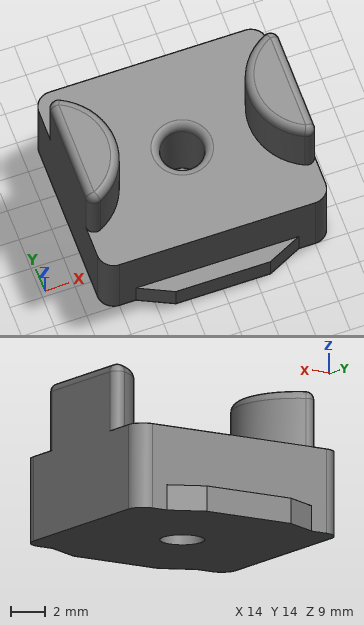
import cadquery as cq

length = 14.0
width = 12.0
base_height = 5.0
corner_radius = 1.0

overall_width = 14.0
tab_height = 1.5
tab_root_length = 10.0
tab_tip_length = 5.81

total_height = 9.0
post_depth = 2.9
post_chord = 7.5
edge_radius = 0.5

hole_diameter = 2.6


def make_base():
    block = cq.Workplane("XY").box(length, width, base_height, centered=(True, True, False))
    block = block.edges("|Z").fillet(corner_radius)
    block = block.faces(">Z").workplane().hole(hole_diameter)
    mouth = cq.selectors.RadiusNthSelector(-1)
    return block.faces(">Z").edges("%CIRCLE").edges(mouth).fillet(edge_radius)


def make_tabs():
    """One plate under the block whose ends form both tabs."""
    root_x = tab_root_length / 2
    tip_x = tab_tip_length / 2
    root_y = width / 2
    tip_y = overall_width / 2
    outline = [
        (-root_x, -root_y), (-tip_x, -tip_y), (tip_x, -tip_y), (root_x, -root_y),
        (root_x, root_y), (tip_x, tip_y), (-tip_x, tip_y), (-root_x, root_y),
    ]
    plate = cq.Workplane("XY").polyline(outline).close().extrude(tab_height)
    bore = cq.Workplane("XY").circle(hole_diameter / 2).extrude(tab_height)
    return plate.cut(bore)


def make_post(side):
    """Post flush with the X end given by side (-1 or +1), curved toward the middle."""
    outer_x = side * length / 2
    inner_x = side * (length / 2 - post_depth)
    half_chord = post_chord / 2
    post = (
        cq.Workplane("XY").workplane(offset=base_height)
        .moveTo(outer_x, -half_chord)
        .threePointArc((inner_x, 0), (outer_x, half_chord))
        .close()
        .extrude(total_height - base_height)
    )
    post = post.edges("|Z").fillet(edge_radius)
    return post.faces(">Z").edges().fillet(edge_radius)


result = make_base().union(make_tabs())
for side in (-1, 1):
    result = result.union(make_post(side))